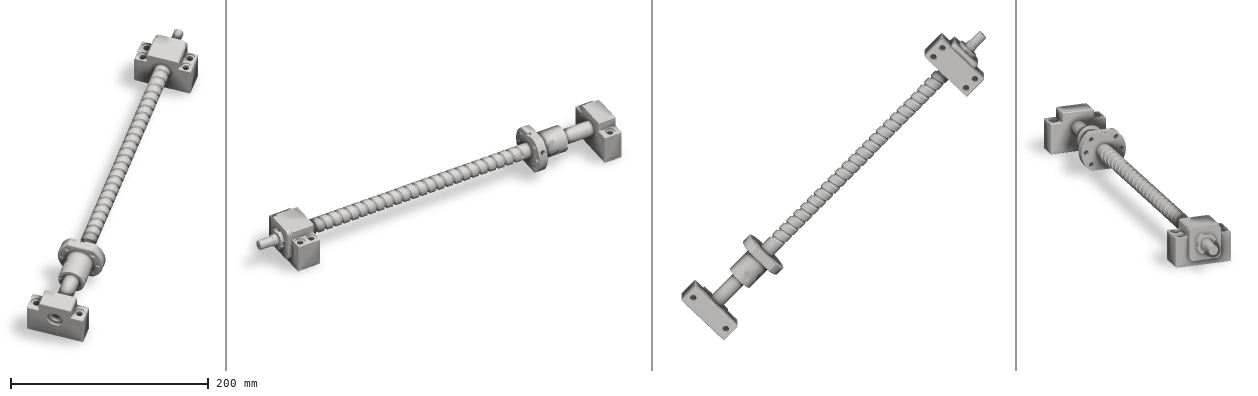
import cadquery as cq
import math

AXIS_HEIGHT = 25.0

BLOCK_WIDTH = 60.0
BLOCK_HEIGHT = 43.0
STEP_HEIGHT = 32.5
HUMP_WIDTH = 34.0
MOUNT_SPACING = 46.0
MOUNT_HOLE_DIA = 6.6
MOUNT_BORE_DIA = 10.8
MOUNT_BORE_DEPTH = 1.5

FLOAT_LENGTH = 20.0
FLOAT_CHAMFER = 0.5
FLOAT_HUMP_CHAMFER = 1.0
FLOAT_BORE_DIA = 17.5
FLOAT_BORE_DEPTH = 2.5

FIXED_LENGTH = 25.0
FIXED_FRONT = 352.5
FIXED_BACK = FIXED_FRONT + FIXED_LENGTH
FIXED_FOOT_CHAMFER = 1.0
FIXED_HUMP_CHAMFER = 1.5
FIXED_RECESS_DIA = 24.0
FIXED_RECESS_DEPTH = 0.5
FIXED_HOLE_SPACING = 13.0
FIXED_HOLE_SETBACK = 6.0

COVER_THICKNESS = 5.0
COVER_CORNER_RADIUS = 5.0
COVER_BACK = FIXED_BACK + COVER_THICKNESS
COVER_HEIGHT = 2 * (BLOCK_HEIGHT - AXIS_HEIGHT)
COLLAR_DIA = 22.0
COLLAR_THICKNESS = 3.8
COLLAR_SLOT_WIDTH = 6.0
COLLAR_SLOT_DEPTH = 2.0
COLLAR_SLOTS = 4

SCREW_DIA = 16.0
SCREW_FRONT = 6.5
SCREW_END = 406.5
SCREW_SHOULDER = FIXED_FRONT + FIXED_RECESS_DEPTH
FLOAT_JOURNAL_DIA = 10.0
FLOAT_JOURNAL_LENGTH = 11.0
FIXED_JOURNAL_DIA = 12.0
DRIVE_DIA = 10.0
DRIVE_LENGTH = 15.0

LEAD = 10.0
GROOVE_RADIUS = 1.65
GROOVE_START = 102.8
GROOVE_END = SCREW_SHOULDER
GROOVE_START_ANGLE = 180.0

NUT_FRONT = 53.5
NUT_LENGTH = 39.0
NUT_BACK = NUT_FRONT + NUT_LENGTH
NUT_BODY_DIA = 28.0
FLANGE_DIA = 48.0
FLANGE_THICKNESS = 10.0
FLANGE_FRONT = NUT_BACK - FLANGE_THICKNESS
FLANGE_FLATS = 40.0
FLANGE_CHAMFER = 0.8
FLANGE_HOLE_DIA = 5.5
FLANGE_HOLE_CIRCLE = 38.0
FLANGE_HOLE_ANGLES = (-45, 0, 45, 135, 180, 225)

OIL_HOLE_DIA = 5.5
OIL_HOLE_ANGLE = 23.0
OIL_HOLE_DEPTH = 10.0

POCKET_COUNT = 3
POCKET_FIRST_ANGLE = 27.0
POCKET_ANGLE_STEP = -54.0
POCKET_FIRST_Y = 73.7
POCKET_Y_STEP = -5.8
POCKET_LENGTH = 13.0
POCKET_WIDTH = 5.5
POCKET_TILT = 45.0
POCKET_FLOOR_RADIUS = 13.0

WIPER_RECESS_DIA = 22.0
WIPER_RECESS_DEPTH = 2.0
KEY_NOTCH_WIDTH = 2.5
KEY_NOTCH_LENGTH = 3.5
TOP_NOTCH_WIDTH = 4.0
TOP_NOTCH_LENGTH = 3.5
TOP_NOTCH_DEPTH = 2.0


def rod(diameter, start, end):
    """Cylinder on the screw axis, from y = start to y = end."""
    return (
        cq.Workplane("XZ", origin=(0, start, AXIS_HEIGHT))
        .circle(diameter / 2)
        .extrude(start - end)
    )


def block(front, length, hole_rows, foot_chamfer, hump_chamfer):
    """Stepped support block without holes, and the cutter for its counterbored mounting holes."""
    feet = cq.Workplane("XY").box(BLOCK_WIDTH, length, STEP_HEIGHT, centered=(True, False, False))
    hump = cq.Workplane("XY").box(HUMP_WIDTH, length, BLOCK_HEIGHT, centered=(True, False, False))
    body = (
        feet.edges("|Y").chamfer(foot_chamfer)
        .union(hump.edges("|Y and >Z").chamfer(hump_chamfer))
        .translate((0, front, 0))
    )
    spots = [(side * MOUNT_SPACING / 2, y) for side in (-1, 1) for y in hole_rows]
    holes = cq.Workplane("XY").pushPoints(spots).circle(MOUNT_HOLE_DIA / 2).extrude(STEP_HEIGHT)
    bores = (
        cq.Workplane("XY", origin=(0, 0, STEP_HEIGHT))
        .pushPoints(spots)
        .circle(MOUNT_BORE_DIA / 2)
        .extrude(-MOUNT_BORE_DEPTH)
    )
    return body, holes.union(bores)


def make_float_block():
    """Floating-end block, lightly chamfered on every outer edge."""
    body, mounting = block(0, FLOAT_LENGTH, [FLOAT_LENGTH / 2], FLOAT_CHAMFER, FLOAT_HUMP_CHAMFER)
    return (
        body.faces("<Y or >Y").edges().chamfer(FLOAT_CHAMFER)
        .cut(mounting)
        .cut(rod(FLOAT_BORE_DIA, 0, FLOAT_BORE_DEPTH))
        .cut(rod(FLOAT_JOURNAL_DIA, FLOAT_BORE_DEPTH, SCREW_FRONT))
    )


def make_fixed_block():
    """Fixed-end block, chamfered along Y only, with a shallow recess around the screw."""
    last_row = FIXED_BACK - FIXED_HOLE_SETBACK
    rows = [last_row - FIXED_HOLE_SPACING, last_row]
    body, mounting = block(FIXED_FRONT, FIXED_LENGTH, rows, FIXED_FOOT_CHAMFER, FIXED_HUMP_CHAMFER)
    return body.cut(mounting).cut(rod(FIXED_RECESS_DIA, FIXED_FRONT, SCREW_SHOULDER))


def make_end_cap():
    """Cover plate on the back of the fixed block, carrying a slotted round collar."""
    cover = (
        cq.Workplane("XZ", origin=(0, FIXED_BACK, AXIS_HEIGHT))
        .rect(HUMP_WIDTH, COVER_HEIGHT)
        .extrude(-COVER_THICKNESS)
        .edges("|Y")
        .fillet(COVER_CORNER_RADIUS)
    )
    slots = (
        cq.Workplane("XZ", origin=(0, COVER_BACK, AXIS_HEIGHT))
        .polarArray(COLLAR_DIA / 2, 0, 360, COLLAR_SLOTS)
        .rect(2 * COLLAR_SLOT_DEPTH, COLLAR_SLOT_WIDTH)
        .extrude(-COLLAR_THICKNESS)
    )
    collar = rod(COLLAR_DIA, COVER_BACK, COVER_BACK + COLLAR_THICKNESS).cut(slots)
    return cover.union(collar)


def make_screw_blank():
    """Stepped shaft before its ball track is cut."""
    float_shoulder = SCREW_FRONT + FLOAT_JOURNAL_LENGTH
    drive_shoulder = SCREW_END - DRIVE_LENGTH
    return (
        rod(FLOAT_JOURNAL_DIA, SCREW_FRONT, float_shoulder)
        .union(rod(SCREW_DIA, float_shoulder, SCREW_SHOULDER))
        .union(rod(FIXED_JOURNAL_DIA, SCREW_SHOULDER, drive_shoulder))
        .union(rod(DRIVE_DIA, drive_shoulder, SCREW_END))
    )


def make_groove():
    """Right-handed ball track, swept along a helix and laid onto the screw axis."""
    radius = SCREW_DIA / 2
    path = cq.Wire.makeHelix(LEAD, GROOVE_END - GROOVE_START, radius)
    tangent = cq.Vector(0, 2 * math.pi * radius, LEAD)
    profile = cq.Workplane(cq.Plane((radius, 0, 0), (1, 0, 0), tangent)).circle(GROOVE_RADIUS)
    return (
        profile.sweep(cq.Workplane(path), isFrenet=True)
        .rotate((0, 0, 0), (0, 0, 1), GROOVE_START_ANGLE)
        .rotate((0, 0, 0), (1, 0, 0), -90)
        .translate((0, GROOVE_START, AXIS_HEIGHT))
    )


def side_plane(angle, y, radius):
    """Workplane facing outward from the screw axis, `angle` degrees above the -X direction.

    Its local x runs along -Y and its local y runs around the axis, upward.
    """
    across = -math.cos(math.radians(angle))
    up = math.sin(math.radians(angle))
    origin = (radius * across, y, AXIS_HEIGHT + radius * up)
    return cq.Workplane(cq.Plane(origin, (0, -1, 0), (across, 0, up)))


def make_flange():
    """Round flange with flats above and below, bolt holes, a side oil hole and a top notch."""
    flange = (
        rod(FLANGE_DIA, FLANGE_FRONT, NUT_BACK)
        .intersect(
            cq.Workplane("XZ", origin=(0, FLANGE_FRONT, AXIS_HEIGHT))
            .rect(FLANGE_DIA, FLANGE_FLATS)
            .extrude(-FLANGE_THICKNESS)
        )
        .faces("<Y").edges().chamfer(FLANGE_CHAMFER)
    )
    angles = [math.radians(angle) for angle in FLANGE_HOLE_ANGLES]
    radius = FLANGE_HOLE_CIRCLE / 2
    bolt_holes = (
        cq.Workplane("XZ", origin=(0, FLANGE_FRONT, AXIS_HEIGHT))
        .pushPoints([(radius * math.cos(a), radius * math.sin(a)) for a in angles])
        .circle(FLANGE_HOLE_DIA / 2)
        .extrude(-FLANGE_THICKNESS)
    )
    oil_hole = (
        side_plane(OIL_HOLE_ANGLE, FLANGE_FRONT + FLANGE_THICKNESS / 2, FLANGE_DIA / 2)
        .circle(OIL_HOLE_DIA / 2)
        .extrude(-OIL_HOLE_DEPTH)
    )
    top_notch = (
        cq.Workplane("XY", origin=(0, NUT_BACK, AXIS_HEIGHT + FLANGE_FLATS / 2))
        .rect(TOP_NOTCH_WIDTH, 2 * TOP_NOTCH_LENGTH)
        .extrude(-TOP_NOTCH_DEPTH)
    )
    return flange.cut(bolt_holes).cut(oil_hole).cut(top_notch)


def make_return_pocket(index):
    """Cutter for one of the slanted slots that step around the nut barrel."""
    angle = POCKET_FIRST_ANGLE + index * POCKET_ANGLE_STEP
    y = POCKET_FIRST_Y + index * POCKET_Y_STEP
    return (
        side_plane(angle, y, POCKET_FLOOR_RADIUS)
        .slot2D(POCKET_LENGTH, POCKET_WIDTH, POCKET_TILT)
        .extrude(NUT_BODY_DIA / 2)
    )


def make_ball_nut():
    """Flanged nut with return pockets, and a wiper recess and key notch in its front end."""
    barrel = rod(NUT_BODY_DIA, NUT_FRONT, FLANGE_FRONT)
    for index in range(POCKET_COUNT):
        barrel = barrel.cut(make_return_pocket(index))
    wiper_recess = rod(WIPER_RECESS_DIA, NUT_FRONT, NUT_FRONT + WIPER_RECESS_DEPTH)
    key_notch = (
        side_plane(0, NUT_FRONT, 0)
        .rect(2 * KEY_NOTCH_LENGTH, KEY_NOTCH_WIDTH)
        .extrude(NUT_BODY_DIA / 2)
    )
    return barrel.cut(wiper_recess).cut(key_notch).union(make_flange())


blank = make_screw_blank()
screw = blank.cut(make_groove())
float_block = make_float_block().cut(blank)
fixed_block = make_fixed_block().cut(blank)
end_cap = make_end_cap().cut(blank)
ball_nut = make_ball_nut().cut(blank)

result = cq.Compound.makeCompound(
    [screw.val(), float_block.val(), fixed_block.val(), end_cap.val(), ball_nut.val()]
)